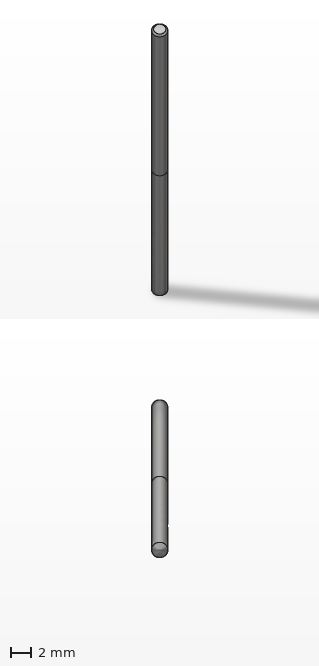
import cadquery as cq
import math

diameter = 1.6
overall_length = 43.0
cutting_length = 20.0
waist_height = 6.4
waist_diameter = 1.58
point_angle = 135.0
shank_chamfer = 0.2

radius = diameter / 2
waist_radius = waist_diameter / 2
point_height = radius / math.tan(math.radians(point_angle / 2))
shank_length = overall_length - cutting_length


def make_cutting_part():
    """Conical point, back taper down to the waist, then a taper out to the shank diameter."""
    half_profile = (
        cq.Workplane("XZ")
        .moveTo(0, 0)
        .lineTo(radius, point_height)
        .lineTo(waist_radius, waist_height)
        .lineTo(radius, cutting_length)
        .lineTo(0, cutting_length)
        .close()
    )
    return half_profile.revolve(360, (0, 0, 0), (0, 1, 0))


def make_shank():
    """Plain cylinder above the cutting part, chamfered at its back end."""
    return (
        cq.Workplane("XY", origin=(0, 0, cutting_length))
        .circle(radius)
        .extrude(shank_length)
        .faces(">Z")
        .chamfer(shank_chamfer)
    )


cutting_part = make_cutting_part()
shank = make_shank()

result = cq.Compound.makeCompound([cutting_part.val(), shank.val()])